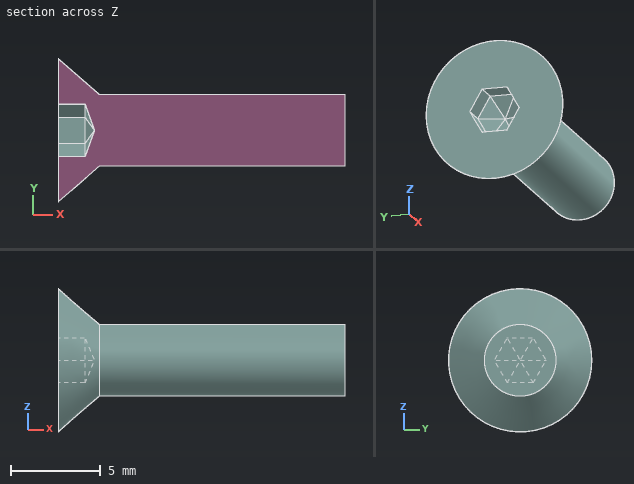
import math

import cadquery as cq

overall_length = 16.0
head_diameter = 8.0
shank_diameter = 4.0
head_height = 2.3
socket_sides = 6
socket_across_flats = 2.5
socket_wall_depth = 1.5
socket_tip_angle = 135.0

head_radius = head_diameter / 2
shank_radius = shank_diameter / 2
socket_corner_radius = socket_across_flats / math.sqrt(3)
socket_tip_depth = socket_across_flats / 2 / math.tan(math.radians(socket_tip_angle / 2))


def screw_body():
    """Conical head and plain shank, revolved about the X axis."""
    return (
        cq.Workplane("XY")
        .moveTo(0, 0)
        .lineTo(0, head_radius)
        .lineTo(head_height, shank_radius)
        .lineTo(overall_length, shank_radius)
        .lineTo(overall_length, 0)
        .close()
        .revolve(360, (0, 0, 0), (1, 0, 0))
    )


def pyramid(base_corners, apex):
    """Solid pyramid standing on the given corners."""
    faces = [cq.Face.makeFromWires(cq.Wire.makePolygon(base_corners, close=True))]
    for start, end in zip(base_corners, base_corners[1:] + base_corners[:1]):
        faces.append(cq.Face.makeFromWires(cq.Wire.makePolygon([start, end, apex], close=True)))
    return cq.Solid.makeSolid(cq.Shell.makeShell(faces))


def hex_socket():
    """Hexagonal recess with corners on the Y axis and a six-sided pointed bottom."""
    prism = cq.Workplane("YZ").polygon(socket_sides, 2 * socket_corner_radius).extrude(socket_wall_depth)
    corners = []
    for step in range(socket_sides):
        angle = 2 * math.pi * step / socket_sides
        corners.append(
            cq.Vector(
                socket_wall_depth,
                socket_corner_radius * math.cos(angle),
                socket_corner_radius * math.sin(angle),
            )
        )
    apex = cq.Vector(socket_wall_depth + socket_tip_depth, 0, 0)
    return prism.union(cq.Workplane(pyramid(corners, apex)))


result = screw_body().cut(hex_socket())